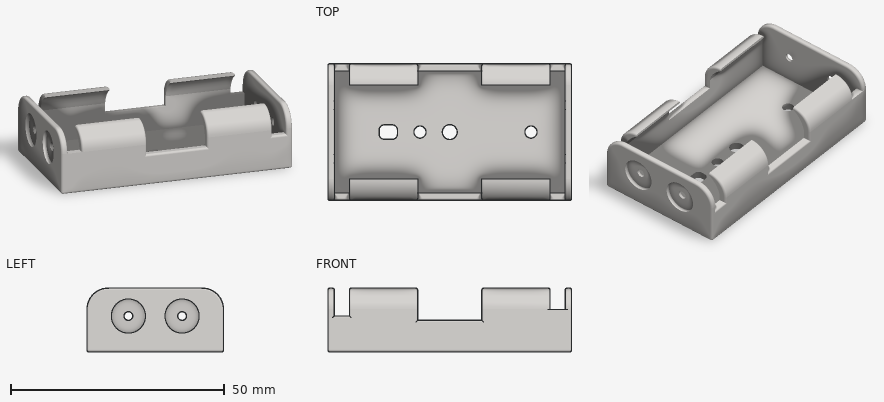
import cadquery as cq

length = 57.0
width = 32.0
height = 15.0
corner_radius = 5.0
edge_radius = 0.5
nearly_parallel = 0.99

end_wall = 1.55
side_wall = 1.75
floor = 1.8
shoulder = height - corner_radius

lip_length = 16.0
lip_tip_thickness = 0.6
lip_inner_radius = 6.85
end_gap = 3.5
left_gap_floor = 8.5
middle_gap_floor = 7.45
left_lip_start = end_wall + end_gap
left_lip_end = left_lip_start + lip_length
right_lip_end = length - end_wall - end_gap
right_lip_start = right_lip_end - lip_length

cell_height = 8.45
cell_spacing = 12.55
contact_diameter = 8.0
contact_depth = 0.9
rivet_diameter = 2.0

floor_holes = [(21.55, 2.8), (28.5, 3.4), (47.5, 2.8)]
slot_x = 14.15
slot_length = 4.2
slot_width = 3.3
slot_corner = 1.15

middle_y = width / 2
cell_positions = [middle_y - cell_spacing / 2, middle_y + cell_spacing / 2]


def block(x_range, y_range, z_range):
    """Box spanning the given ranges."""
    (x0, x1), (y0, y1), (z0, z1) = x_range, y_range, z_range
    return cq.Workplane("XY").box(x1 - x0, y1 - y0, z1 - z0, centered=False).translate((x0, y0, z0))


def rod(x0, x1, y, diameter):
    """Cylinder along X at the height of the cells."""
    return cq.Workplane("YZ", origin=(x0, y, cell_height)).circle(diameter / 2).extrude(x1 - x0)


def is_rounded(edge):
    """True for the sharp outer edges; false for gap corners, tangent seams and the right gap floor."""
    z = edge.Center().z
    direction = edge.tangentAt(0.5)
    if abs(direction.x) > nearly_parallel:
        return z < shoulder - edge_radius
    if abs(direction.y) > nearly_parallel:
        return z < edge_radius or z > height - edge_radius
    return True


body = block((0, length), (0, width), (0, height)).edges("|X and >Z").fillet(corner_radius)

body = body.cut(block((end_wall, left_lip_start), (0, width), (left_gap_floor, height)))
body = body.cut(block((left_lip_end, right_lip_start), (0, width), (middle_gap_floor, height)))
body = body.cut(block((right_lip_end, length - end_wall), (0, width), (shoulder, height)))
outer_edges = [edge for edge in body.edges().vals() if is_rounded(edge)]
body = body.newObject(outer_edges).fillet(edge_radius)

lip_underside = height - lip_tip_thickness
cavity = (
    cq.Workplane("YZ", origin=(end_wall, 0, 0))
    .moveTo(side_wall, floor)
    .lineTo(side_wall, shoulder)
    .radiusArc((corner_radius, lip_underside), lip_inner_radius)
    .lineTo(corner_radius, height)
    .lineTo(width - corner_radius, height)
    .lineTo(width - corner_radius, lip_underside)
    .radiusArc((width - side_wall, shoulder), lip_inner_radius)
    .lineTo(width - side_wall, floor)
    .close()
    .extrude(length - 2 * end_wall)
)
body = body.cut(cavity)

for y in cell_positions:
    body = body.cut(rod(0, contact_depth, y, contact_diameter))
    body = body.cut(rod(length - contact_depth, length, y, contact_diameter))
    body = body.cut(rod(0, length, y, rivet_diameter))

for x, diameter in floor_holes:
    body = body.cut(cq.Workplane("XY").center(x, middle_y).circle(diameter / 2).extrude(floor))
slot = cq.Workplane("XY").center(slot_x, middle_y).rect(slot_length, slot_width).extrude(floor)
body = body.cut(slot.edges("|Z").fillet(slot_corner))

result = body